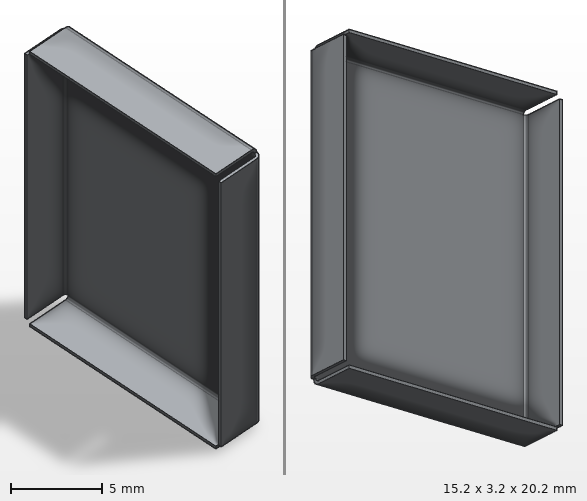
import cadquery as cq

width = 15.2
depth = 3.2
height = 20.2

thickness = 0.2
inner_bend_radius = 0.2
outer_bend_radius = inner_bend_radius + thickness

panel_width = width - 2 * outer_bend_radius
panel_height = height - 2 * outer_bend_radius


def bent_channel(span, length):
    """U-shaped sheet: web at +Y, two bent flanges reaching to -Y, centred and extruded along Z."""
    outer = (
        cq.Workplane("XY")
        .box(span, depth, length)
        .edges("|Z and >Y")
        .fillet(outer_bend_radius)
    )
    inner = (
        cq.Workplane("XY")
        .box(span - 2 * thickness, depth, length)
        .edges("|Z and >Y")
        .fillet(inner_bend_radius)
        .translate((0, -thickness, 0))
    )
    return outer.cut(inner)


side_channel = bent_channel(width, panel_height)

end_channel = bent_channel(height, panel_width).rotate((0, 0, 0), (0, 1, 0), 90)

result = side_channel.union(end_channel)